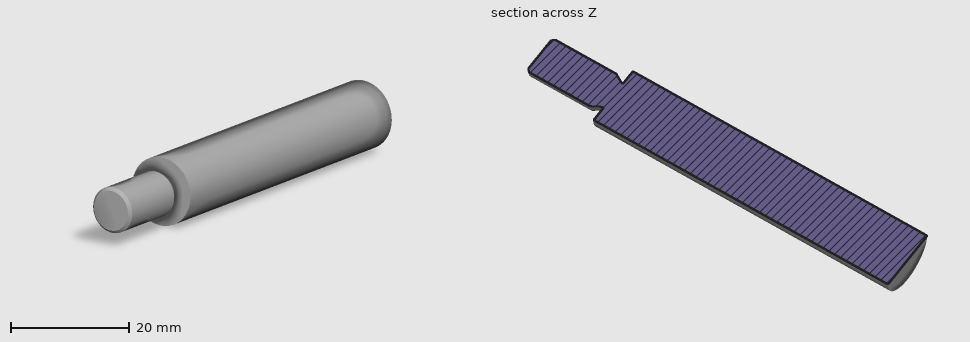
import cadquery as cq
import math

total_length = 75.0
stud_length = 15.0
body_diameter = 12.0
stud_diameter = 8.0
stud_chamfer = 0.5
neck_diameter = 6.0
undercut_length = 2.0
undercut_angle = 30.0

body_length = total_length - stud_length
body_radius = body_diameter / 2
stud_radius = stud_diameter / 2
neck_radius = neck_diameter / 2
cone_length = (stud_radius - neck_radius) / math.tan(math.radians(undercut_angle))
neck_length = undercut_length - cone_length

half_section = [
    (body_length, 0),
    (body_length, body_radius),
    (0, body_radius),
    (0, neck_radius),
    (-neck_length, neck_radius),
    (-undercut_length, stud_radius),
    (-stud_length + stud_chamfer, stud_radius),
    (-stud_length, stud_radius - stud_chamfer),
    (-stud_length, 0),
]

result = cq.Workplane("YZ").polyline(half_section).close().revolve(360, (0, 0, 0), (1, 0, 0))